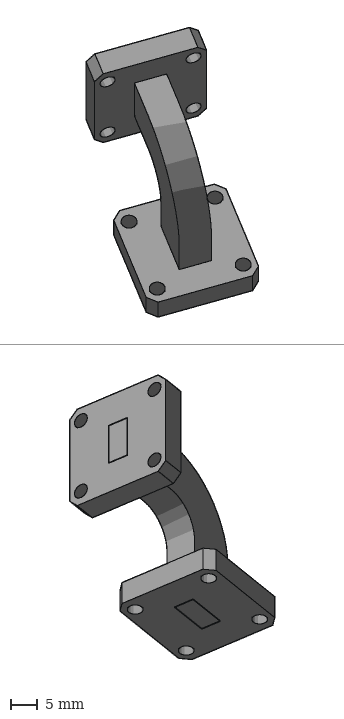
import cadquery as cq

overall_length = 36.5
flange_size = 22.25
flange_thickness = 4.85
flange_chamfer = 1.75
hole_diameter = 2.95
hole_spacing_across = 17.0
hole_spacing_in_plane = 16.25

recess_length = 8.6
recess_width = 4.27
recess_depth = 0.15

tube_depth = 10.65
tube_width = 6.4
inner_radius = 7.3
outer_radius = inner_radius + tube_depth

outlet_center_x = overall_length - flange_size / 2
inlet_center_z = overall_length - flange_size / 2
tube_inner_x = outlet_center_x - tube_depth / 2
tube_outer_x = outlet_center_x + tube_depth / 2
tube_inner_z = inlet_center_z - tube_depth / 2
tube_outer_z = inlet_center_z + tube_depth / 2
bend_center_x = tube_inner_x - inner_radius
bend_center_z = tube_inner_z - inner_radius


def make_flange():
    """Square flange with cut corners, four holes and a recess in its outer face at Z = 0."""
    recess = cq.Workplane("XY").rect(recess_length, recess_width).extrude(recess_depth)
    return (
        cq.Workplane("XY")
        .rect(flange_size, flange_size)
        .extrude(flange_thickness)
        .edges("|Z")
        .chamfer(flange_chamfer)
        .faces(">Z")
        .workplane()
        .rect(hole_spacing_in_plane, hole_spacing_across, forConstruction=True)
        .vertices()
        .hole(hole_diameter)
        .cut(recess)
    )


def make_tube():
    """Solid elbow joining the inner faces of the two flanges."""
    diagonal = 0.5 ** 0.5
    outer_mid = (bend_center_x + outer_radius * diagonal, bend_center_z + outer_radius * diagonal)
    inner_mid = (bend_center_x + inner_radius * diagonal, bend_center_z + inner_radius * diagonal)
    return (
        cq.Workplane("XZ")
        .moveTo(flange_thickness, tube_outer_z)
        .lineTo(bend_center_x, tube_outer_z)
        .threePointArc(outer_mid, (tube_outer_x, bend_center_z))
        .lineTo(tube_outer_x, flange_thickness)
        .lineTo(tube_inner_x, flange_thickness)
        .lineTo(tube_inner_x, bend_center_z)
        .threePointArc(inner_mid, (bend_center_x, tube_inner_z))
        .lineTo(flange_thickness, tube_inner_z)
        .close()
        .extrude(tube_width / 2, both=True)
    )


outlet_flange = make_flange().translate((outlet_center_x, 0, 0))
inlet_flange = make_flange().rotate((0, 0, 0), (0, 1, 0), 90).translate((0, 0, inlet_center_z))

result = make_tube().union(outlet_flange).union(inlet_flange)